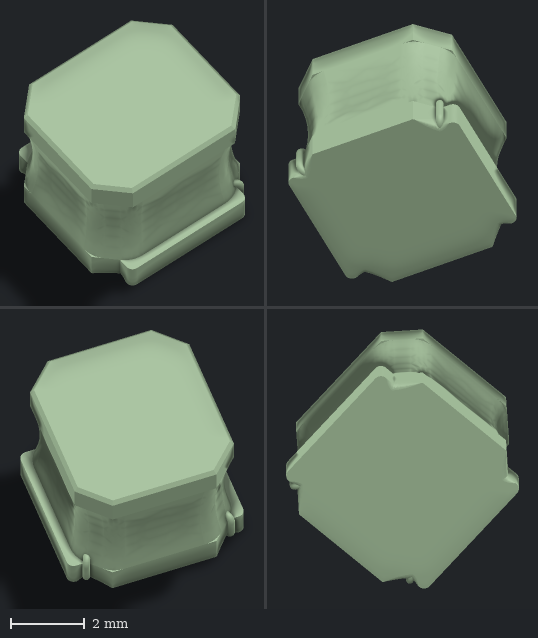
import cadquery as cq
import math

core_x = 4.6
core_y = 5.1
core_height = 4.0
corner_angle = 45.0
corner_leg = 0.8
base_height = 0.75
flange_bottom = 3.25
flange_bevel = 0.1

waist_sag = 0.17
waist_round = 0.815
waist_middle_leg = 0.745
waist_middle_round = 0.74

tab_x = 5.1
tab_y = 4.0
tab_round = 0.2

terminal_height = 0.3
terminal_inner_x = 1.25

round_height = 0.245
round_depth = 0.17
round_tab_length = 0.275
round_cut_length = 0.74
round_steps = 5
round_taper_end = 0.97
cutter_margin = 0.05

wire_diameter = 0.2
wire_x = 2.095
wire_bend_radius = 0.175
wire_top = base_height + wire_bend_radius
wire_bottom = terminal_height - wire_bend_radius
wire_turn = 25.0
wire_upper_run = 0.51
wire_lower_run = 0.1

notch_y = tab_y / 2
notch_x = core_x / 2 + core_y / 2 - corner_leg - notch_y


def octagon_prism(bottom, height, inset=0.0, leg=corner_leg):
    """Prism with the core's outline, drawn in by inset, standing at height bottom."""
    return (
        cq.Workplane("XY", origin=(0, 0, bottom))
        .rect(core_x - 2 * inset, core_y - 2 * inset)
        .extrude(height)
        .edges("|Z")
        .chamfer(leg)
    )


def waist_section(height, inset, leg, rounding):
    """Rounded octagonal wire of the waist at one height."""
    slab = octagon_prism(height, 0.05, inset, leg).edges("|Z").fillet(rounding)
    return slab.faces("<Z").wires().val()


def waist():
    middle = (base_height + flange_bottom) / 2
    sections = [
        waist_section(base_height, 0, corner_leg, waist_round),
        waist_section(middle, waist_sag, waist_middle_leg, waist_middle_round),
        waist_section(flange_bottom, 0, corner_leg, waist_round),
    ]
    return cq.Workplane(cq.Solid.makeLoft(sections))


def base():
    tabs = cq.Workplane("XY").rect(tab_x, tab_y).extrude(base_height).edges("|Z").fillet(tab_round)
    return octagon_prism(0, base_height).union(tabs)


def flange():
    plate = octagon_prism(flange_bottom, core_height - flange_bottom)
    return plate.faces(">Z").chamfer(flange_bevel)


def terminal_space(side):
    """Block under one side of the base that its terminal fills; side is +1 or -1 along X."""
    width = tab_x / 2 - terminal_inner_x
    center_x = side * (terminal_inner_x + width / 2)
    return cq.Workplane("XY").center(center_x, 0).rect(width, core_y).extrude(terminal_height)


def rounding_cutter(along, length):
    """Cutter that rounds the lower edge leaving the notch in the direction along, tapering to nothing."""
    normal = cq.Vector(-along.y, along.x, 0)
    if normal.y > 0:
        normal = normal * -1
    miter_angle = math.radians(corner_angle / 2)
    miter = cq.Vector(-math.sin(miter_angle), -math.cos(miter_angle), 0) * (1 / math.cos(miter_angle))
    down = cq.Vector(0, 0, -1)
    sections = []
    for step in range(round_steps + 1):
        travel = round_taper_end * step / round_steps
        size = math.cos(travel * math.pi / 2)
        inward = miter * (1 - travel) + normal * travel
        corner = cq.Vector(notch_x, notch_y, 0) + along * (length * travel)
        upper = corner + cq.Vector(0, 0, round_height * size)
        inner = corner + inward * (round_depth * size)
        curve = cq.Edge.makeSpline([upper, inner], tangents=[down, inward])
        below = down * cutter_margin
        outward = inward * -cutter_margin
        straight = cq.Wire.makePolygon(
            [inner, inner + below, corner + outward + below, upper + outward, upper]
        )
        sections.append(cq.Wire.assembleEdges([curve, *straight.Edges()]))
    return cq.Workplane(cq.Solid.makeLoft(sections))


def terminal(side):
    body = base().intersect(terminal_space(side))
    diagonal = math.sqrt(0.5)
    cutters = [
        rounding_cutter(cq.Vector(1, 0, 0), round_tab_length),
        rounding_cutter(cq.Vector(-diagonal, diagonal, 0), round_cut_length),
    ]
    for cutter in cutters:
        if side < 0:
            cutter = cutter.mirror("YZ")
        body = body.cut(cutter).cut(cutter.mirror("XZ"))
    return body


def drum_core():
    body = base().union(waist()).union(flange())
    for side in (1, -1):
        body = body.cut(terminal_space(side))
    return body


def wire_end(side, core, end_terminal):
    """Wire that leaves the waist, runs down the end of a tab and turns under it to the terminal."""
    reach = wire_bend_radius
    center_line = (
        cq.Workplane("YZ")
        .moveTo(-reach - wire_upper_run, wire_top)
        .lineTo(-reach, wire_top)
        .radiusArc((0, wire_top - reach), reach)
        .lineTo(0, wire_bottom + reach)
        .radiusArc((-reach, wire_bottom), reach)
        .lineTo(-reach - wire_lower_run, wire_bottom)
    )
    wire = (
        cq.Workplane("XZ", origin=(0, -reach - wire_upper_run, wire_top))
        .circle(wire_diameter / 2)
        .sweep(center_line)
        .rotate((0, 0, 0), (0, 0, 1), -side * wire_turn)
        .translate((side * wire_x, tab_y / 2 + wire_diameter / 2, 0))
    )
    return wire.cut(core).cut(end_terminal)


core = drum_core()
terminals = [terminal(side) for side in (1, -1)]
wires = [wire_end(side, core, end_terminal) for side, end_terminal in zip((1, -1), terminals)]

result = cq.Compound.makeCompound(
    [core.val(), *[body.val() for body in terminals], *[body.val() for body in wires]]
)